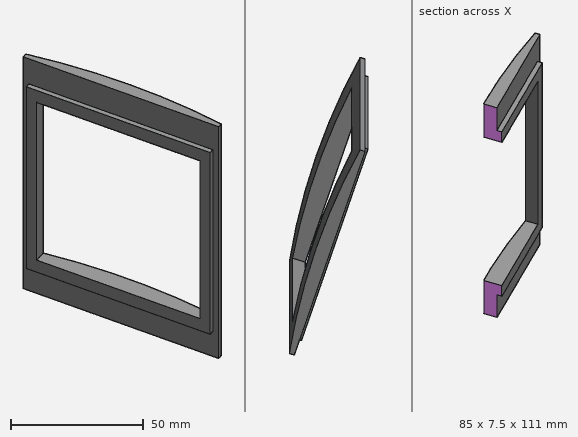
import cadquery as cq

width = 85.0
height = 111.0
edge_thickness = 2.0
crown_rise = 3.5

rim_width = 80.0
rim_height = 87.0
rim_depth = 2.0

window_width = 71.0
window_height = 75.5

crown_thickness = edge_thickness + crown_rise


def centred_block(size_x, size_z, y_start, y_end):
    """Box centred on X and Z, spanning y_start to y_end."""
    depth = y_end - y_start
    return cq.Workplane("XY").box(size_x, depth, size_z).translate((0, y_start + depth / 2, 0))


def domed_plate():
    """Plate with a flat face at Y = 0 and a shallow arc across X on its +Y face."""
    half_width = width / 2
    return (
        cq.Workplane("XY")
        .workplane(offset=-height / 2)
        .moveTo(-half_width, 0)
        .lineTo(half_width, 0)
        .lineTo(half_width, edge_thickness)
        .threePointArc((0, crown_thickness), (-half_width, edge_thickness))
        .close()
        .extrude(height)
    )


rim = centred_block(rim_width, rim_height, -rim_depth, 0)
window = centred_block(window_width, window_height, -rim_depth, crown_thickness)

result = domed_plate().union(rim).cut(window)